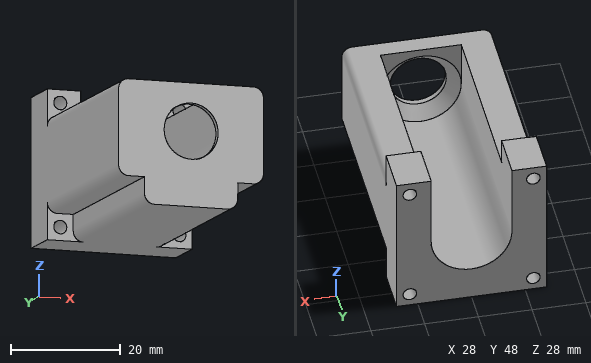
import cadquery as cq

width = 28.0
length = 48.0
flange_thickness = 9.0
body_length = length - flange_thickness

step = 5.0
corner_radius = 1.9

front_wall = 3.5
bore_diameter = 10.4
channel_width = 15.0

screw_diameter = 2.5
screw_inset = 2.5

half = width / 2
bore_radius = bore_diameter / 2
channel_radius = channel_width / 2
channel_length = length - front_wall
flare_depth = channel_radius - bore_radius
bore_lip = front_wall - flare_depth


def box_along_y(x_size, z_bottom, z_top, y_start, y_size):
    """Box centred on X, given by its Z limits and its extent along Y."""
    return (
        cq.Workplane("XY")
        .box(x_size, y_size, z_top - z_bottom, centered=(True, False, False))
        .translate((0, y_start, z_bottom))
    )


def cylinder_along_y(diameter, y_start, y_size, x=0, z=0):
    """Cylinder whose axis runs along Y through (x, z)."""
    return cq.Workplane(
        cq.Solid.makeCylinder(diameter / 2, y_size, cq.Vector(x, y_start, z), cq.Vector(0, 1, 0))
    )


def make_body():
    """Rounded block with a narrower keel below it."""
    block = box_along_y(width, step - half, half - step, 0, body_length)
    block = block.edges("|Y").fillet(corner_radius)
    keel = box_along_y(width - 2 * step, -half, 0, 0, body_length)
    keel = keel.edges("|Y and <Z").fillet(corner_radius)
    return block.union(keel)


def make_flange():
    """Square rear flange with a screw hole in each corner."""
    flange = box_along_y(width, -half, half, body_length, flange_thickness)
    offset = half - screw_inset
    for x in (-offset, offset):
        for z in (-offset, offset):
            flange = flange.cut(cylinder_along_y(screw_diameter, body_length, flange_thickness, x, z))
    return flange


def make_channel():
    """Round-bottomed channel, open at the top and the rear."""
    floor = cylinder_along_y(channel_width, front_wall, channel_length)
    opening = box_along_y(channel_width, 0, half, front_wall, channel_length)
    return floor.union(opening)


def make_bore():
    """Front bore: a short straight lip, then a 45 degree cone opening to the channel radius."""
    straight = cylinder_along_y(bore_diameter, 0, bore_lip)
    cone = cq.Workplane(
        cq.Solid.makeCone(
            bore_radius,
            channel_radius,
            flare_depth,
            cq.Vector(0, bore_lip, 0),
            cq.Vector(0, 1, 0),
        )
    )
    return straight.union(cone)


result = make_body().union(make_flange()).cut(make_channel()).cut(make_bore())